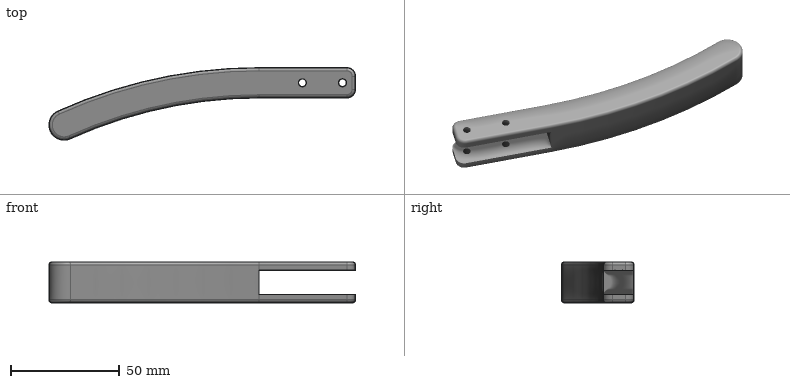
import cadquery as cq
import math

overall_length = 141.48
overall_depth = 33.46
height = 19.0
width = 14.0
half_width = width / 2

fork_length = 44.5
prong_thickness = 4.0
slot_height = height - 2 * prong_thickness
fork_corner_radius = 4.0

hole_diameter = 3.5
hole_setbacks = (6.0, 24.5)

edge_radius = 1.5

tip_run = overall_length - fork_length - half_width
tip_drop = overall_depth - width
bend_angle = 2 * math.atan2(tip_drop, tip_run)
bend_radius = tip_run / math.sin(bend_angle)


def bend_point(offset, angle):
    """Point on the bend, offset outward from its centreline, at an angle from the fork."""
    radius = bend_radius + offset
    return (-radius * math.sin(angle), radius * math.cos(angle) - bend_radius)


def make_body():
    """Full-height handle: straight end, tangent bend and round tip."""
    round_tip = (
        -tip_run - half_width * math.cos(bend_angle),
        -tip_drop - half_width * math.sin(bend_angle),
    )
    outline = (
        cq.Workplane("XY")
        .workplane(offset=-height / 2)
        .moveTo(fork_length, -half_width)
        .lineTo(fork_length, half_width)
        .lineTo(0, half_width)
        .threePointArc(bend_point(half_width, bend_angle / 2), bend_point(half_width, bend_angle))
        .threePointArc(round_tip, bend_point(-half_width, bend_angle))
        .threePointArc(bend_point(-half_width, bend_angle / 2), (0, -half_width))
        .close()
    )
    return outline.extrude(height)


def round_edges(body):
    """Round the upright corners of the fork tip, then the top and bottom rims."""
    body = body.faces(">X").edges("|Z").fillet(fork_corner_radius)
    return body.faces("|Z").edges().fillet(edge_radius)


def make_slot():
    """Open slot that splits the straight end into two prongs."""
    return cq.Workplane("XY").box(fork_length, width, slot_height).translate((fork_length / 2, 0, 0))


def make_pin_holes():
    """Cylinders that cut the pin holes through both prongs."""
    centres = [(fork_length - setback, 0) for setback in hole_setbacks]
    return (
        cq.Workplane("XY")
        .workplane(offset=-height / 2)
        .pushPoints(centres)
        .circle(hole_diameter / 2)
        .extrude(height)
    )


result = round_edges(make_body()).cut(make_slot()).cut(make_pin_holes())